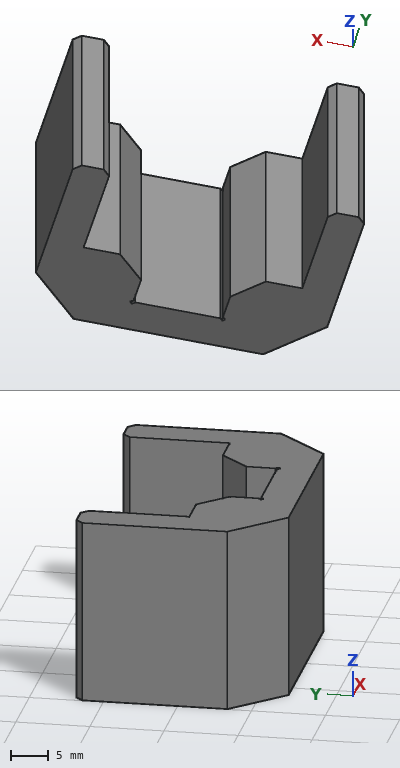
import cadquery as cq

width = 40.0
depth = 27.55
height = 25.0

wall = 5.0
outer_bevel = 7.0
tip_chamfer = 1.0

channel_width = 12.25
shelf_width = 5.0
shelf_y = 13.05

relief_mouth = 0.3
relief_run = 0.35

half_width = width / 2
half_channel = channel_width / 2
arm_inner_x = half_width - wall
shelf_inner_x = arm_inner_x - shelf_width
shelf_bevel = shelf_inner_x - half_channel
slot_top_y = wall + relief_mouth
slot_floor_x = half_channel - relief_mouth

half_outline = [
    (0, 0),
    (half_width - outer_bevel, 0),
    (half_width, outer_bevel),
    (half_width, depth - tip_chamfer),
    (half_width - tip_chamfer, depth),
    (arm_inner_x + tip_chamfer, depth),
    (arm_inner_x, depth - tip_chamfer),
    (arm_inner_x, shelf_y),
    (shelf_inner_x, shelf_y),
    (half_channel, shelf_y - shelf_bevel),
    (half_channel, slot_top_y),
    (half_channel + relief_run, slot_top_y - relief_run),
    (slot_floor_x + relief_run, wall - relief_run),
    (slot_floor_x, wall),
    (0, wall),
]

right_half = cq.Workplane("XY").polyline(half_outline).close().extrude(height)
result = right_half.union(right_half.mirror("YZ")).clean()